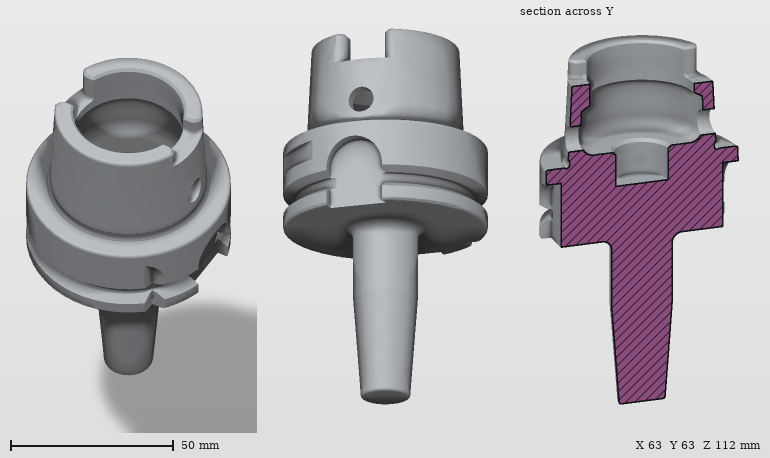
import cadquery as cq
import math

total_height = 112.0
shank_height = 32.0
flange_height = 26.0
flange_top = total_height - shank_height
flange_bottom = flange_top - flange_height

shank_top_radius = 22.7
shank_base_radius = 24.2
shank_rim_round = 1.0
relief_radius = 23.7
relief_height = 2.4
relief_slope = 0.6
relief_cove = 1.0
face_recess_radius = 25.2
face_recess_depth = 0.3

flange_radius = 31.5
flange_edge_round = 1.0
groove_radius = 27.4
groove_lip_radius = 28.9
groove_drop = 16.5
groove_top = flange_top - groove_drop
groove_width = 3.4
groove_bevel = 1.7

neck_radius = 10.0
neck_fillet = 3.0
nose_taper_height = 32.0
nose_tip_radius = 7.6
nose_tip_round = 0.9

bore_radius = 17.0
bore_rim_chamfer = 0.8
bore_depth = 12.8
chamber_radius = 19.7
chamber_roof_angle = 30.0
chamber_depth = 29.0
chamber_fillet = 4.0
well_radius = 8.5
well_chamfer = 1.0
well_depth = 11.2

slot_half_width = 6.0
slot_corner_radius = 2.9
slot_corner_x = 18.0
slot_flare_length = 5.6
slot_floor_fillet = 1.2
slot_rim_chamfer = 0.8
deep_slot_depth = 9.7
shallow_slot_depth = 5.6

cross_hole_radius = 4.0
cross_hole_depth = 23.0

keyway_width = 17.9
keyway_floor = 26.5
keyway_centre_drop = 14.0
notch_width = 17.9
notch_floor = 20.0
notch_wall = 19.7
notch_centre_drop = 12.3
flat_offset = 29.9
flat_height = 6.0
flat_centre_drop = 7.0
flat_direction = 135.0

clearance = 5.6


def arc_point(centre_u, centre_v, radius, angle):
    """Point of an arc at an angle in degrees, measured from the first axis of its plane."""
    return (
        centre_u + radius * math.cos(math.radians(angle)),
        centre_v + radius * math.sin(math.radians(angle)),
    )


def revolve(profile):
    """Close a half profile and turn it about the part axis."""
    return profile.close().revolve(360, (0, 0, 0), (0, 1, 0))


def outer_body():
    """Revolved outside of nose, flange and shank."""
    relief_top = flange_top + relief_height
    groove_bottom = groove_top - groove_width
    cove_r = relief_radius + relief_cove
    cove_z = flange_top - face_recess_depth + relief_cove
    rim_r = shank_top_radius - shank_rim_round
    rim_z = total_height - shank_rim_round
    edge_r = flange_radius - flange_edge_round
    edge_z = flange_top - flange_edge_round
    low_edge_z = flange_bottom + flange_edge_round
    neck_arc_r = neck_radius + neck_fillet
    neck_arc_z = flange_bottom - neck_fillet
    tip_r = nose_tip_radius - nose_tip_round
    profile = (
        cq.Workplane("XZ")
        .lineTo(tip_r, 0)
        .threePointArc(
            arc_point(tip_r, nose_tip_round, nose_tip_round, -45), (nose_tip_radius, nose_tip_round)
        )
        .lineTo(neck_radius, nose_taper_height)
        .lineTo(neck_radius, neck_arc_z)
        .threePointArc(
            arc_point(neck_arc_r, neck_arc_z, neck_fillet, 135), (neck_arc_r, flange_bottom)
        )
        .lineTo(edge_r, flange_bottom)
        .threePointArc(
            arc_point(edge_r, low_edge_z, flange_edge_round, -45), (flange_radius, low_edge_z)
        )
        .lineTo(flange_radius, groove_bottom - groove_bevel)
        .lineTo(groove_lip_radius, groove_bottom)
        .lineTo(groove_radius, groove_bottom)
        .lineTo(groove_radius, groove_top)
        .lineTo(groove_lip_radius, groove_top)
        .lineTo(flange_radius, groove_top + groove_bevel)
        .lineTo(flange_radius, edge_z)
        .threePointArc(arc_point(edge_r, edge_z, flange_edge_round, 45), (edge_r, flange_top))
        .lineTo(face_recess_radius, flange_top)
        .lineTo(cove_r, flange_top - face_recess_depth)
        .threePointArc(arc_point(cove_r, cove_z, relief_cove, -135), (relief_radius, cove_z))
        .lineTo(relief_radius, relief_top - relief_slope)
        .lineTo(shank_base_radius, relief_top)
        .lineTo(shank_top_radius, rim_z)
        .threePointArc(arc_point(rim_r, rim_z, shank_rim_round, 45), (rim_r, total_height))
        .lineTo(0, total_height)
    )
    return revolve(profile)


def inner_cavity():
    """Revolved bore, wider clamping chamber below it and a blind well in the chamber floor."""
    chamber_floor = total_height - chamber_depth
    bore_end = total_height - bore_depth
    roof_slope = math.tan(math.radians(chamber_roof_angle))
    roof_height = (chamber_radius - bore_radius) * roof_slope
    arc_r = chamber_radius - chamber_fillet
    arc_z = chamber_floor + chamber_fillet
    profile = (
        cq.Workplane("XZ")
        .moveTo(0, chamber_floor - well_depth)
        .lineTo(well_radius, chamber_floor - well_depth)
        .lineTo(well_radius, chamber_floor - well_chamfer)
        .lineTo(well_radius + well_chamfer, chamber_floor)
        .lineTo(arc_r, chamber_floor)
        .threePointArc(arc_point(arc_r, arc_z, chamber_fillet, -45), (chamber_radius, arc_z))
        .lineTo(chamber_radius, bore_end - roof_height)
        .lineTo(bore_radius, bore_end)
        .lineTo(bore_radius, total_height - bore_rim_chamfer)
        .lineTo(bore_radius + bore_rim_chamfer, total_height)
        .lineTo(0, total_height)
    )
    return revolve(profile)


def slot_outline(plane, widening):
    """Slot toward +X whose walls turn round a corner onto a line square to the radius there."""
    half_width = slot_half_width + widening
    radius = slot_corner_radius - widening
    corner_y = slot_half_width + slot_corner_radius
    turn = math.atan2(corner_y, slot_corner_x)
    mid_x, mid_y = arc_point(slot_corner_x, corner_y, radius, (math.degrees(turn) - 90) / 2)
    end_x, end_y = arc_point(slot_corner_x, corner_y, radius, math.degrees(turn))
    line_x = end_x - slot_flare_length * math.sin(turn)
    line_y = end_y + slot_flare_length * math.cos(turn)
    far_x = shank_base_radius + clearance
    return (
        plane.lineTo(0, half_width)
        .lineTo(slot_corner_x, half_width)
        .threePointArc((mid_x, mid_y), (end_x, end_y))
        .lineTo(line_x, line_y)
        .lineTo(far_x, line_y)
        .lineTo(far_x, -line_y)
        .lineTo(line_x, -line_y)
        .lineTo(end_x, -end_y)
        .threePointArc((mid_x, -mid_y), (slot_corner_x, -half_width))
        .lineTo(0, -half_width)
        .close()
    )


def drive_slot(depth):
    """Cutter for a slot toward +X with filleted floor edges and a chamfered rim."""
    floor = cq.Workplane("XY", origin=(0, 0, total_height - depth))
    slot = slot_outline(floor, 0).extrude(depth).faces("<Z").edges().fillet(slot_floor_fillet)
    rim = cq.Workplane("XY", origin=(0, 0, total_height))
    mouth = slot_outline(rim, slot_rim_chamfer).extrude(-slot_rim_chamfer, taper=45)
    return slot.union(mouth)


def rim_slot(width, floor_x, centre_y, centre_drop):
    """Cutter for a flat-floored slot facing +X, round at its top and open at the flange bottom."""
    centre_z = flange_top - centre_drop
    height = centre_z - flange_bottom + clearance
    reach = flange_radius - floor_x + clearance
    side = cq.Workplane("YZ", origin=(floor_x, centre_y, centre_z))
    straight = side.center(0, -height / 2).rect(width, height).extrude(reach)
    return side.circle(width / 2).extrude(reach).union(straight)


def rim_flat():
    """Cutter for the flat facing midway between -X and +Y."""
    return (
        cq.Workplane("XY")
        .box(clearance, 2 * flange_radius, flat_height, centered=(False, True, True))
        .translate((flat_offset, 0, flange_top - flat_centre_drop))
        .rotate((0, 0, 0), (0, 0, 1), flat_direction)
    )


def turn_around(cutter):
    """Move a cutter from the +X side to the -X side."""
    return cutter.rotate((0, 0, 0), (0, 0, 1), 180)


def cross_hole():
    """Cutter for the hole along X through both shank walls."""
    return (
        cq.Workplane("YZ", origin=(0, 0, total_height - cross_hole_depth))
        .circle(cross_hole_radius)
        .extrude(shank_base_radius + clearance, both=True)
    )


result = outer_body().cut(inner_cavity())

result = result.cut(drive_slot(shallow_slot_depth))
result = result.cut(turn_around(drive_slot(deep_slot_depth)))
result = result.cut(cross_hole())

keyway = rim_slot(keyway_width, keyway_floor, 0, keyway_centre_drop)
notch = rim_slot(notch_width, notch_floor, -notch_wall - notch_width / 2, notch_centre_drop)
for cutter in (keyway, turn_around(keyway), notch, rim_flat()):
    result = result.cut(cutter)